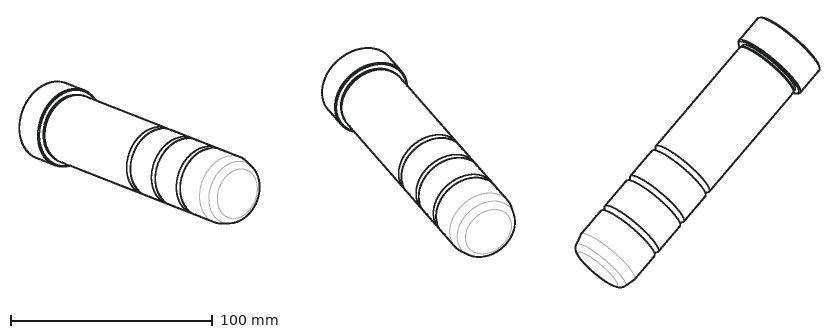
import cadquery as cq
import math

length = 150.0
head_radius = 40.0 / 2
head_length = 16.0
head_chamfer = 0.6
shaft_radius = 35.0 / 2

relief_depth = 0.5
relief_floor_end = 17.2
relief_end = 17.8

first_groove_center = 85.0
groove_pitch = 20.0
groove_count = 3
groove_width = 3.0
groove_depth = 0.8

taper_start = 141.9
taper_angle = math.radians(15)
nose_radius = 3.5

hole_radius = 1.6
countersink_radius = 2.5
countersink_half_angle = math.radians(30)
hole_depth = 6.0
drill_half_angle = math.radians(59)


def make_body():
    """Revolve the half profile of the pin about the X axis."""
    relief_radius = shaft_radius - relief_depth
    arc_center_x = length - nose_radius
    tangent_x = arc_center_x + nose_radius * math.sin(taper_angle)
    tangent_r = shaft_radius - (tangent_x - taper_start) * math.tan(taper_angle)
    arc_center_r = tangent_r - nose_radius * math.cos(taper_angle)
    mid_angle = (math.pi / 2 - taper_angle) / 2
    arc_middle = (
        arc_center_x + nose_radius * math.cos(mid_angle),
        arc_center_r + nose_radius * math.sin(mid_angle),
    )

    profile = (
        cq.Workplane("XY")
        .moveTo(0, 0)
        .lineTo(0, head_radius - head_chamfer)
        .lineTo(head_chamfer, head_radius)
        .lineTo(head_length - head_chamfer, head_radius)
        .lineTo(head_length, head_radius - head_chamfer)
        .lineTo(head_length, relief_radius)
        .lineTo(relief_floor_end, relief_radius)
        .lineTo(relief_end, shaft_radius)
    )
    for index in range(groove_count):
        center = first_groove_center + index * groove_pitch
        profile = profile.lineTo(center - groove_width / 2, shaft_radius).threePointArc(
            (center, shaft_radius - groove_depth),
            (center + groove_width / 2, shaft_radius),
        )
    profile = (
        profile.lineTo(taper_start, shaft_radius)
        .lineTo(tangent_x, tangent_r)
        .threePointArc(arc_middle, (length, arc_center_r))
        .lineTo(length, 0)
        .close()
    )
    return profile.revolve(360, (0, 0, 0), (1, 0, 0))


def make_center_hole():
    """Countersunk center hole with a conical drill tip."""
    countersink_depth = (countersink_radius - hole_radius) / math.tan(countersink_half_angle)
    tip_depth = hole_depth + hole_radius / math.tan(drill_half_angle)
    return (
        cq.Workplane("XY")
        .moveTo(0, 0)
        .lineTo(0, countersink_radius)
        .lineTo(countersink_depth, hole_radius)
        .lineTo(hole_depth, hole_radius)
        .lineTo(tip_depth, 0)
        .close()
        .revolve(360, (0, 0, 0), (1, 0, 0))
    )


result = make_body().cut(make_center_hole())